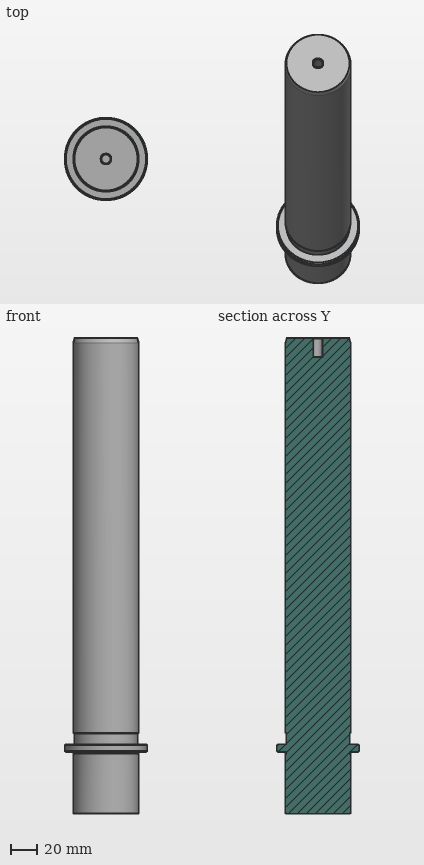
import cadquery as cq

total_height = 362.0
column_radius = 25.0
flange_radius = 31.5

flange_bottom = 47.0
flange_top = 53.2
neck_top = 61.0

relief_radius = 24.3
undercut_height = 1.5

flange_chamfer = 1.0
bottom_chamfer = 0.7
shoulder_taper_height = 0.7
lead_in_height = 3.5
lead_in_depth = 1.0

hole_diameter = 7.0
countersink_diameter = 8.5
countersink_angle = 90
hole_depth = 14.5


def turned_body():
    """Revolve the half profile of the stepped column about Z."""
    profile = [
        (0, 0),
        (column_radius - bottom_chamfer, 0),
        (column_radius, bottom_chamfer),
        (column_radius, flange_bottom - undercut_height),
        (relief_radius, flange_bottom - undercut_height),
        (relief_radius, flange_bottom),
        (flange_radius - flange_chamfer, flange_bottom),
        (flange_radius, flange_bottom + flange_chamfer),
        (flange_radius, flange_top - flange_chamfer),
        (flange_radius - flange_chamfer, flange_top),
        (relief_radius, flange_top),
        (relief_radius, neck_top),
        (column_radius, neck_top + shoulder_taper_height),
        (column_radius, total_height - lead_in_height),
        (column_radius - lead_in_depth, total_height),
        (0, total_height),
    ]
    return cq.Workplane("XZ").polyline(profile).close().revolve(360, (0, 0), (0, 1))


def add_centre_hole(body):
    """Sink a blind countersunk hole into the top face."""
    top_face = body.faces(">Z").workplane()
    return top_face.cskHole(hole_diameter, countersink_diameter, countersink_angle, hole_depth)


result = add_centre_hole(turned_body())